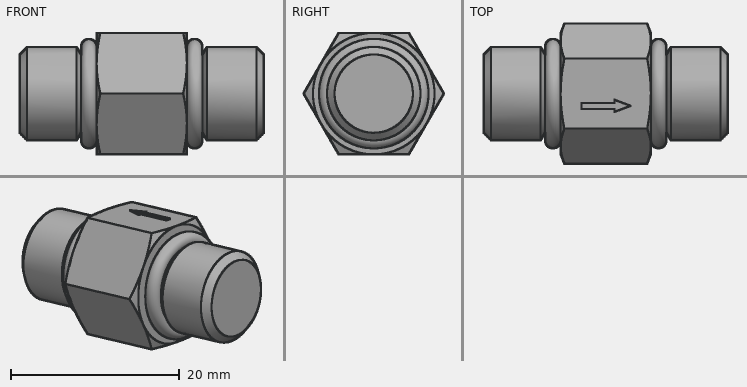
import cadquery as cq
import math

total_length = 28.95
thread_radius = 11.1 / 2
end_chamfer = 0.9

hex_length = 10.7
hex_flats = 14.42
hex_corner_diameter = hex_flats / math.cos(math.radians(30))
hex_start = (total_length - hex_length) / 2
corner_chamfer = 0.43

ring_thickness = 1.85
groove_radius = 9.3 / 2
groove_wall_angle = 60
groove_floor_start = hex_start - ring_thickness
groove_wall_length = (thread_radius - groove_radius) / math.tan(math.radians(groove_wall_angle))
thread_end = groove_floor_start - groove_wall_length
ring_middle_radius = groove_radius + ring_thickness / 2

arrow_depth = 0.1
arrow_tail_x = 11.6
arrow_length = 5.82
arrow_head_length = 1.95
arrow_head_width = 1.45
arrow_shaft_width = 0.72
arrow_y = -1.45

mid_x = total_length / 2
x_axis = ((0, 0, 0), (1, 0, 0))


def revolve_about_x(half_outline):
    """Turn a list of (x, radius) points into a round solid on the X axis."""
    return cq.Workplane("XY").polyline(half_outline).close().revolve(360, *x_axis)


def make_threaded_end():
    """Chamfered stub with its groove, from the end face at X = 0 to the middle of the fitting."""
    return revolve_about_x([
        (0, 0),
        (0, thread_radius - end_chamfer),
        (end_chamfer, thread_radius),
        (thread_end, thread_radius),
        (groove_floor_start, groove_radius),
        (mid_x, groove_radius),
        (mid_x, 0),
    ])


def make_hexagon():
    """Hexagonal prism with its corners cut back by a cone at both ends."""
    hex_end = hex_start + hex_length
    prism = (
        cq.Workplane("YZ", origin=(hex_start, 0, 0))
        .polygon(6, hex_corner_diameter)
        .extrude(hex_length)
    )
    corner_radius = hex_corner_diameter / 2
    corner_limit = revolve_about_x([
        (hex_start, 0),
        (hex_start, hex_flats / 2),
        (hex_start + corner_chamfer, corner_radius),
        (hex_end - corner_chamfer, corner_radius),
        (hex_end, hex_flats / 2),
        (hex_end, 0),
    ])
    return prism.intersect(corner_limit)


def make_arrow_cutter():
    """Arrow-shaped block whose top is flush with the upper flat of the hexagon."""
    head_x = arrow_length - arrow_head_length
    half_shaft = arrow_shaft_width / 2
    half_head = arrow_head_width / 2
    return (
        cq.Workplane("XY", origin=(arrow_tail_x, arrow_y, hex_flats / 2))
        .polyline([
            (0, -half_shaft),
            (head_x, -half_shaft),
            (head_x, -half_head),
            (arrow_length, 0),
            (head_x, half_head),
            (head_x, half_shaft),
            (0, half_shaft),
        ])
        .close()
        .extrude(-arrow_depth)
    )


def make_fitting_body():
    near_end = make_threaded_end()
    far_end = near_end.mirror("YZ", (mid_x, 0, 0))
    return make_hexagon().union(near_end).union(far_end).cut(make_arrow_cutter())


def make_o_ring(x):
    """O-ring around the X axis with its middle plane at the given x."""
    return (
        cq.Workplane("XY")
        .center(x, ring_middle_radius)
        .circle(ring_thickness / 2)
        .revolve(360, (0, -ring_middle_radius, 0), (1, -ring_middle_radius, 0))
    )


fitting_body = make_fitting_body()

near_ring_x = hex_start - ring_thickness / 2
far_ring_x = total_length - near_ring_x
o_rings = [make_o_ring(x) for x in (near_ring_x, far_ring_x)]

result = cq.Compound.makeCompound([fitting_body.val(), *[ring.val() for ring in o_rings]])